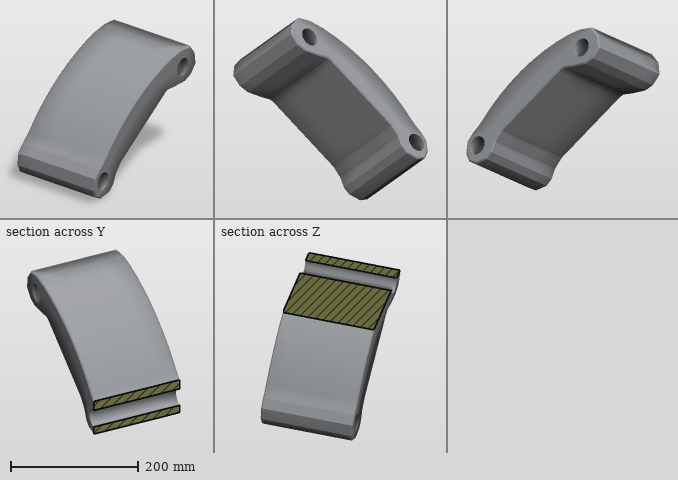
import cadquery as cq

width = 150.0
bore_diameter = 30.0
edge_chamfer = 2.0

upper_bore = (0, 0)
lower_bore = (-214.0, -110.2)

crown_start = (-27.8, 30.0)
crown_middle = (-144.3, -17.5)
crown_end = (-208.0, -72.3)

lower_eye = [
    (-212.7, -76.5),
    (-224.2, -85.5),
    (-235.5, -97.5),
    (-238.2, -117.3),
    (-232.2, -132.0),
    (-218.0, -140.0),
    (-196.2, -137.7),
    (-185.5, -129.0),
]
underside = [
    (-178.3, -113.0),
    (-164.5, -98.0),
    (-45.0, -26.5),
    (-38.7, -24.2),
    (-32.5, -24.7),
]
upper_eye = [
    (-21.0, -26.7),
    (7.1, -28.9),
    (22.8, -23.5),
    (36.5, -9.0),
    (34.0, 11.3),
    (20.5, 29.0),
    (-3.3, 32.5),
]


def make_body():
    """Arm with a curved crown and flat-sided eyes, centred across its width, with chamfered side edges."""
    outline = cq.Workplane("YZ").moveTo(*crown_start).threePointArc(crown_middle, crown_end)
    for corner in lower_eye + underside + upper_eye:
        outline = outline.lineTo(*corner)
    body = outline.close().extrude(width / 2, both=True)
    return body.faces("<X or >X").chamfer(edge_chamfer)


def make_bores():
    """Pin bores running through the full width."""
    bores = cq.Workplane("YZ").pushPoints([upper_bore, lower_bore])
    return bores.circle(bore_diameter / 2).extrude(width, both=True)


result = make_body().cut(make_bores())